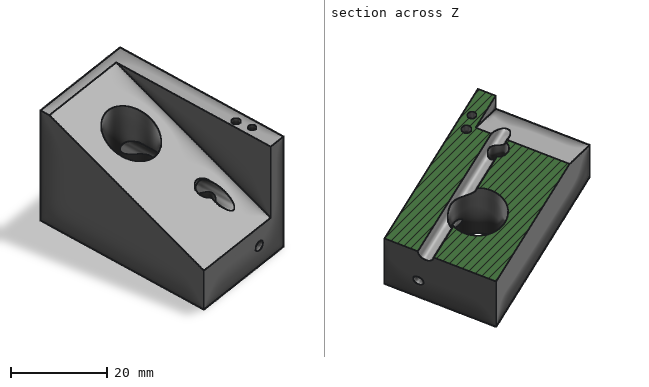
import cadquery as cq

length = 44.25
depth = 25.95
height = 30.45

wall_thickness = 4.2
ledge_length = 2.45
low_end_height = 10.8

vertical_holes = [
    (14.95, 11.6, 12.5),
    (31.95, 15.2, 4.42),
    (33.55, 23.35, 2.0),
    (37.4, 24.0, 1.75),
]

lengthwise_holes = [
    (16.35, 15.2, 3.6),
    (18.05, 5.55, 2.45),
]


def vertical_hole(x, y, diameter):
    return cq.Workplane("XY").center(x, y).circle(diameter / 2).extrude(height)


def lengthwise_hole(y, z, diameter):
    return cq.Workplane("YZ").center(y, z).circle(diameter / 2).extrude(length)


block = cq.Workplane("XY").box(length, depth, height, centered=False)
slope_cut = (
    cq.Workplane("XZ")
    .moveTo(ledge_length, height)
    .lineTo(length, low_end_height)
    .lineTo(length, height)
    .close()
    .extrude(-(depth - wall_thickness))
)
result = block.cut(slope_cut)

for hole in vertical_holes:
    result = result.cut(vertical_hole(*hole))

for hole in lengthwise_holes:
    result = result.cut(lengthwise_hole(*hole))